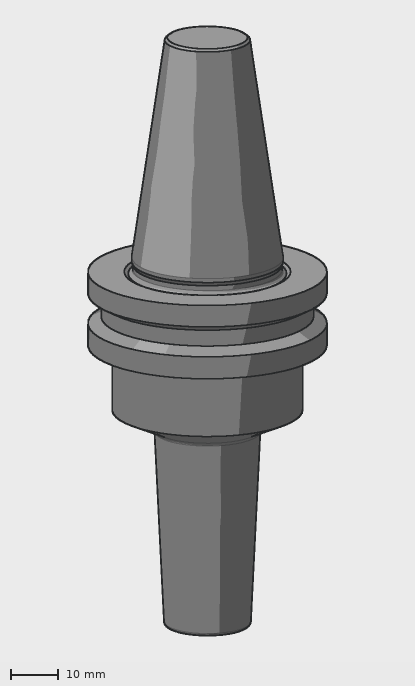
import cadquery as cq

total_length = 127.8
flange_top = 76.8
flange_bottom = 60.8
gauge_height = 80.0
gauge_band = 0.9
band_chamfer = 0.8
body_bottom = 46.8
nose_top = 42.7

flange_radius = 50.0 / 2
gauge_radius = 15.8
neck_radius = 15.6
body_radius = 20.0
nose_top_radius = 11.1
nose_end_radius = 9.1

taper_slope = 7 / 48
shank_top_radius = gauge_radius - taper_slope * (total_length - gauge_height)
shank_chamfer = 0.5
nose_rounding = 0.8
shoulder_fillet = 0.9
flange_root_fillet = 0.4

groove_center = 68.9
groove_floor_radius = 22.2
groove_mouth_width = 6.5
groove_floor_width = 3.5

relief_radius = 17.4
relief_depth = 0.4
neck_fillet = 0.9
relief_land = 0.06
relief_floor_radius = neck_radius + neck_fillet + relief_land

edge_margin = 0.1


def revolve_profile(points):
    """Revolve closed (radius, height) points around the Z axis."""
    profile = cq.Workplane("XZ").polyline(points).close()
    return profile.revolve(360, (0, 0, 0), (0, 1, 0))


def make_holder():
    band_bottom = gauge_height - gauge_band
    return revolve_profile([
        (0, 0),
        (nose_end_radius, 0),
        (nose_top_radius, nose_top),
        (body_radius, body_bottom),
        (body_radius, flange_bottom),
        (flange_radius, flange_bottom),
        (flange_radius, flange_top),
        (relief_radius, flange_top),
        (relief_floor_radius, flange_top - relief_depth),
        (neck_radius, flange_top - relief_depth),
        (neck_radius, band_bottom - band_chamfer),
        (gauge_radius, band_bottom),
        (gauge_radius, gauge_height),
        (shank_top_radius, total_length),
        (0, total_length),
    ])


def make_gripper_groove():
    mouth = groove_mouth_width / 2
    floor = groove_floor_width / 2
    return revolve_profile([
        (flange_radius, groove_center - mouth),
        (groove_floor_radius, groove_center - floor),
        (groove_floor_radius, groove_center + floor),
        (flange_radius, groove_center + mouth),
    ])


def fillet_circle(body, radius, height, fillet_radius):
    """Round the circular edge that has the given radius and height."""
    reach = radius + edge_margin
    box = cq.selectors.BoxSelector(
        (-reach, -reach, height - edge_margin),
        (reach, reach, height + edge_margin),
        boundingbox=True,
    )
    return body.edges(box).edges("%CIRCLE").fillet(fillet_radius)


holder = make_holder()
holder = holder.faces(">Z").edges().chamfer(shank_chamfer)
holder = holder.faces("<Z").edges().fillet(nose_rounding)
holder = fillet_circle(holder, nose_top_radius, nose_top, shoulder_fillet)
holder = fillet_circle(holder, body_radius, flange_bottom, flange_root_fillet)
holder = fillet_circle(holder, neck_radius, flange_top - relief_depth, neck_fillet)
result = holder.cut(make_gripper_groove())